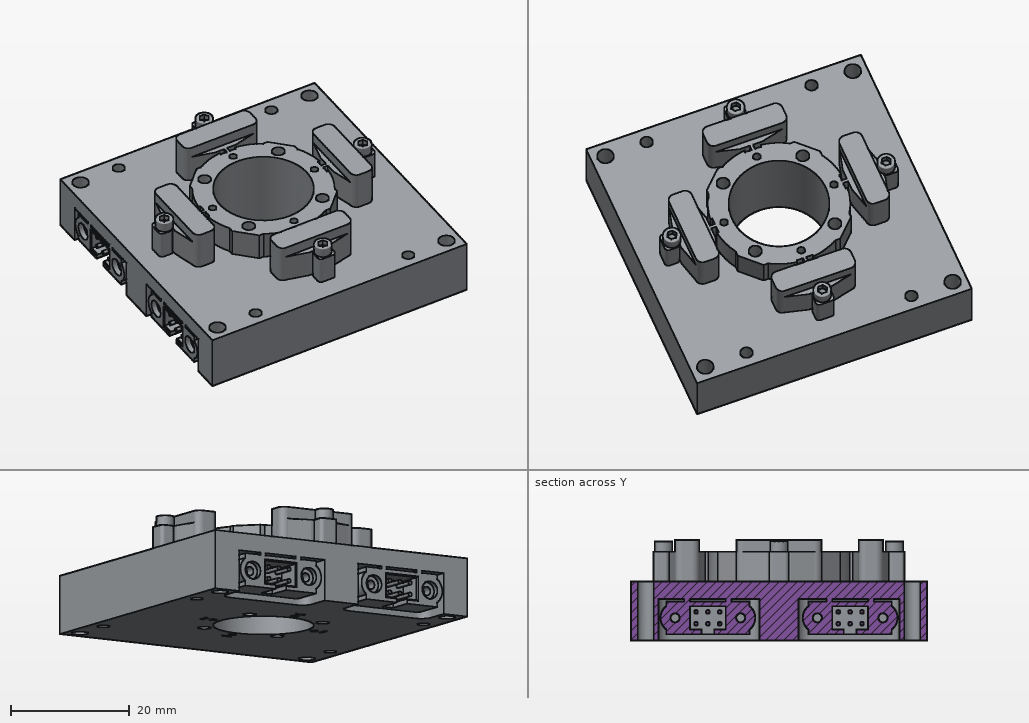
import cadquery as cq
import math

PLATE_SIDE = 50.0
PLATE_HEIGHT = 10.0
CORNER_HOLE_OFFSET = 22.5
CORNER_HOLE_DIA = 2.8
SIDE_HOLE_SPACING = 30.0
SIDE_HOLE_DIA = 2.1

SIDES = 4
STAGE_HEIGHT = 5.0
STAGE_TOP = PLATE_HEIGHT + STAGE_HEIGHT
PAD_RISE = 2.0
RING_RADIUS = 12.0
RING_BORE_RADIUS = 8.5
RING_SQUARE_SIDE = 20.65
RING_CORNER_CUT = 3.35
RING_SCREW_HOLE_DIA = 2.2
RING_SCREW_HOLE_OFFSET = 7.25
RING_PIN_HOLE_DIA = 1.3
RING_PIN_HOLE_RADIUS = 10.0

NOTCH_FLOOR_RADIUS = 11.55
NOTCH_WIDTH = 2.9
LINK_WIDTH = 0.6
RELIEF_HOLE_DIA = 1.8

PAD_LENGTH = 14.4
PAD_WIDTH = 4.1
PAD_CENTRE_RADIUS = 15.5
PAD_CORNER_RADIUS = 1.2
LEVER_LENGTH = PAD_LENGTH - 2 * PAD_CORNER_RADIUS
LEVER_TIP_LENGTH = 4.1
LEVER_TIP_RISE = 1.0
LEVER_INNER_RADIUS = PAD_CENTRE_RADIUS - PAD_WIDTH / 2 - LEVER_TIP_RISE
LEVER_OUTER_RADIUS = PAD_CENTRE_RADIUS + PAD_WIDTH / 2 + LEVER_TIP_RISE
BLOCK_WIDTH = 3.3
BLOCK_OUTER_RADIUS = 21.2
BLOCK_CORNER_RADIUS = 0.65

SCREW_RADIUS_POSITION = 19.5
SCREW_HEAD_DIA = 3.0
SCREW_HEAD_HEIGHT = 1.75
SCREW_HEAD_ROUND = 0.1
HEX_SIDES = 6
SCREW_HEX_WIDTH = 1.5
SCREW_HEX_DEPTH = 1.0
SCREW_CONE_DEPTH = 0.4

FRONT_Y = -PLATE_SIDE / 2
POCKET_OFFSET = 11.8
POCKET_WIDTH = 17.0
POCKET_HEIGHT = 7.0
POCKET_DEPTH = 6.0
POCKET_CORNER_RADIUS = 2.0

CONNECTOR_OFFSET = 12.0
CONNECTOR_Z = 3.83
CONNECTOR_WIDTH = 14.05
CONNECTOR_HEIGHT = 5.55
EAR_OFFSET = 5.53
EAR_RADIUS = 2.48
EAR_RECESS_DIA = 3.0
EAR_RECESS_DEPTH = 1.05
EAR_HOLE_DIA = 1.5
EAR_HOLE_DEPTH = 3.0
RIB_WIDTH = 1.05
RIB_OFFSET = 3.5
SOCKET_WIDTH = 6.0
SOCKET_HEIGHT = 3.85
SOCKET_DEPTH = 4.5
SOCKET_CHAMFER = 0.2
KEY_SLOT_WIDTH = 2.1
PIN_DIA = 0.65
PIN_COLUMNS = 3
PIN_ROWS = 2
PIN_PITCH = 2.0
PIN_LENGTH = 3.9


def box_between(x_range, y_range, z_range):
    """Axis-aligned box given by its lower and upper limits."""
    sizes = [high - low for low, high in (x_range, y_range, z_range)]
    corner = (x_range[0], y_range[0], z_range[0])
    return cq.Workplane("XY").box(*sizes, centered=False).translate(corner)


def front_plane(x, z, depth=0.0):
    """Sketch plane facing -Y, set back from the front face by depth."""
    origin = (x, FRONT_Y + depth, z)
    return cq.Workplane(cq.Plane(origin=origin, xDir=(1, 0, 0), normal=(0, -1, 0)))


def around(solid):
    """The same solid repeated on all four sides of the Z axis."""
    repeated = cq.Workplane("XY")
    for turn in range(SIDES):
        repeated = repeated.add(solid.rotate((0, 0, 0), (0, 0, 1), turn * 360 / SIDES))
    return repeated.combine()


def make_plate():
    """Square plate with four corner holes and four smaller side holes."""
    plate = cq.Workplane("XY").box(PLATE_SIDE, PLATE_SIDE, PLATE_HEIGHT, centered=(True, True, False))
    corner_spacing = 2 * CORNER_HOLE_OFFSET
    top = plate.faces(">Z").workplane(origin=(0, 0, PLATE_HEIGHT))
    plate = top.rarray(corner_spacing, corner_spacing, 2, 2).hole(CORNER_HOLE_DIA)
    top = plate.faces(">Z").workplane(origin=(0, 0, PLATE_HEIGHT))
    return top.rarray(corner_spacing, SIDE_HOLE_SPACING, 2, 2).hole(SIDE_HOLE_DIA)


def make_ring():
    """Round ring merged with a square whose corners are cut off."""
    base = cq.Workplane("XY").workplane(offset=PLATE_HEIGHT)
    square = base.rect(RING_SQUARE_SIDE, RING_SQUARE_SIDE).extrude(STAGE_HEIGHT)
    square = square.edges("|Z").chamfer(RING_CORNER_CUT)
    ring = base.circle(RING_RADIUS).extrude(STAGE_HEIGHT).union(square)
    notch = box_between(
        (-NOTCH_WIDTH / 2, NOTCH_WIDTH / 2),
        (NOTCH_FLOOR_RADIUS, RING_RADIUS),
        (PLATE_HEIGHT, STAGE_TOP),
    )
    return ring.cut(around(notch))


def make_screw_heads():
    """Socket-head screws standing on the lever blocks, hexagon points along Y."""
    head = cq.Workplane("XY").workplane(offset=STAGE_TOP).circle(SCREW_HEAD_DIA / 2)
    head = head.extrude(SCREW_HEAD_HEIGHT).faces(">Z").edges().fillet(SCREW_HEAD_ROUND)
    hex_diameter = SCREW_HEX_WIDTH / math.cos(math.pi / HEX_SIDES)
    hexagon = cq.Workplane("XY").polygon(HEX_SIDES, hex_diameter).extrude(SCREW_HEX_DEPTH)
    hexagon = hexagon.rotate((0, 0, 0), (0, 0, 1), 180 / HEX_SIDES)
    hex_floor = STAGE_TOP + SCREW_HEAD_HEIGHT - SCREW_HEX_DEPTH
    cone = cq.Solid.makeCone(
        SCREW_HEX_WIDTH / 2, 0, SCREW_CONE_DEPTH, pnt=cq.Vector(0, 0, hex_floor), dir=cq.Vector(0, 0, -1)
    )
    head = head.cut(hexagon.translate((0, 0, hex_floor))).cut(cq.Workplane(cone))
    heads = cq.Workplane("XY")
    for turn in range(SIDES):
        angle = turn * 2 * math.pi / SIDES
        place = (SCREW_RADIUS_POSITION * math.cos(angle), SCREW_RADIUS_POSITION * math.sin(angle), 0)
        heads = heads.add(head.translate(place))
    return heads.combine()


def make_lever():
    """Tapered lever with its pad, screw block and flexure link."""
    base = cq.Workplane("XY").workplane(offset=PLATE_HEIGHT)
    pad = base.center(0, PAD_CENTRE_RADIUS).rect(PAD_LENGTH, PAD_WIDTH).extrude(STAGE_HEIGHT + PAD_RISE)
    pad = pad.edges("|Z").fillet(PAD_CORNER_RADIUS)

    pad_inner = PAD_CENTRE_RADIUS - PAD_WIDTH / 2
    pad_outer = PAD_CENTRE_RADIUS + PAD_WIDTH / 2
    half_tip = LEVER_TIP_LENGTH / 2
    half_length = LEVER_LENGTH / 2
    body = (
        base.moveTo(-half_tip, LEVER_INNER_RADIUS)
        .lineTo(half_tip, LEVER_INNER_RADIUS)
        .lineTo(half_length, pad_inner)
        .lineTo(half_length, pad_outer)
        .lineTo(half_tip, LEVER_OUTER_RADIUS)
        .lineTo(-half_tip, LEVER_OUTER_RADIUS)
        .lineTo(-half_length, pad_outer)
        .lineTo(-half_length, pad_inner)
        .close()
        .extrude(STAGE_HEIGHT)
    )
    block = box_between(
        (-BLOCK_WIDTH / 2, BLOCK_WIDTH / 2),
        (LEVER_OUTER_RADIUS, BLOCK_OUTER_RADIUS),
        (PLATE_HEIGHT, STAGE_TOP),
    )
    block = block.edges("|Z").fillet(BLOCK_CORNER_RADIUS)
    link = box_between(
        (-LINK_WIDTH / 2, LINK_WIDTH / 2),
        (NOTCH_FLOOR_RADIUS, LEVER_INNER_RADIUS),
        (PLATE_HEIGHT, STAGE_TOP),
    )
    return body.union(pad).union(block).union(link)


def make_relief_holes():
    """Half-round openings through the plate, on both sides of each link."""
    hole = cq.Workplane("XY").center(0, RING_RADIUS).circle(RELIEF_HOLE_DIA / 2).extrude(PLATE_HEIGHT)
    notch = box_between(
        (-NOTCH_WIDTH / 2, NOTCH_WIDTH / 2),
        (NOTCH_FLOOR_RADIUS, RING_RADIUS),
        (0, PLATE_HEIGHT),
    )
    return around(hole.intersect(notch))


def make_ring_holes():
    """Bore and mounting holes running through both the ring and the plate."""
    holes = cq.Workplane("XY").circle(RING_BORE_RADIUS).extrude(STAGE_TOP)
    spacing = 2 * RING_SCREW_HOLE_OFFSET
    screws = cq.Workplane("XY").rarray(spacing, spacing, 2, 2).circle(RING_SCREW_HOLE_DIA / 2)
    pins = cq.Workplane("XY").polarArray(RING_PIN_HOLE_RADIUS, 0, 360, SIDES).circle(RING_PIN_HOLE_DIA / 2)
    return holes.union(screws.extrude(STAGE_TOP)).union(pins.extrude(STAGE_TOP))


def make_pocket(side):
    """Connector pocket with rounded rear corners, to the left (-1) or right (+1)."""
    centre = side * POCKET_OFFSET
    pocket = box_between(
        (centre - POCKET_WIDTH / 2, centre + POCKET_WIDTH / 2),
        (FRONT_Y, FRONT_Y + POCKET_DEPTH),
        (0, POCKET_HEIGHT),
    )
    return pocket.edges("|Z and >Y").fillet(POCKET_CORNER_RADIUS)


def make_connector(side):
    """Six-pin connector with two screw ears and two ribs up to the pocket roof."""
    x = side * CONNECTOR_OFFSET
    face = front_plane(x, CONNECTOR_Z)
    ears = [(-EAR_OFFSET, 0), (EAR_OFFSET, 0)]
    body = face.rect(CONNECTOR_WIDTH, CONNECTOR_HEIGHT).extrude(-POCKET_DEPTH)
    body = body.union(face.pushPoints(ears).circle(EAR_RADIUS).extrude(-POCKET_DEPTH))
    for rib_x in (x - RIB_OFFSET, x + RIB_OFFSET):
        rib = box_between(
            (rib_x - RIB_WIDTH / 2, rib_x + RIB_WIDTH / 2),
            (FRONT_Y, FRONT_Y + POCKET_DEPTH),
            (CONNECTOR_Z, POCKET_HEIGHT),
        )
        body = body.union(rib)

    body = body.cut(face.pushPoints(ears).circle(EAR_RECESS_DIA / 2).extrude(-EAR_RECESS_DEPTH))
    body = body.cut(face.pushPoints(ears).circle(EAR_HOLE_DIA / 2).extrude(-EAR_HOLE_DEPTH))

    socket = face.rect(SOCKET_WIDTH, SOCKET_HEIGHT).extrude(-SOCKET_DEPTH)
    mouth = face.rect(SOCKET_WIDTH + 2 * SOCKET_CHAMFER, SOCKET_HEIGHT + 2 * SOCKET_CHAMFER)
    mouth = mouth.workplane(offset=-SOCKET_CHAMFER).rect(SOCKET_WIDTH, SOCKET_HEIGHT).loft()
    key_slot = box_between(
        (x - KEY_SLOT_WIDTH / 2, x + KEY_SLOT_WIDTH / 2),
        (FRONT_Y, FRONT_Y + SOCKET_DEPTH),
        (CONNECTOR_Z - CONNECTOR_HEIGHT / 2, CONNECTOR_Z),
    )
    body = body.cut(socket).cut(mouth).cut(key_slot)

    socket_floor = front_plane(x, CONNECTOR_Z, SOCKET_DEPTH)
    pin_grid = socket_floor.rarray(PIN_PITCH, PIN_PITCH, PIN_COLUMNS, PIN_ROWS)
    pins = pin_grid.circle(PIN_DIA / 2).extrude(PIN_LENGTH)
    return body.union(pins)


result = make_plate().union(make_ring()).union(around(make_lever()))
result = result.union(make_screw_heads())
result = result.cut(make_ring_holes()).cut(make_relief_holes())
for side in (-1, 1):
    result = result.cut(make_pocket(side)).union(make_connector(side))